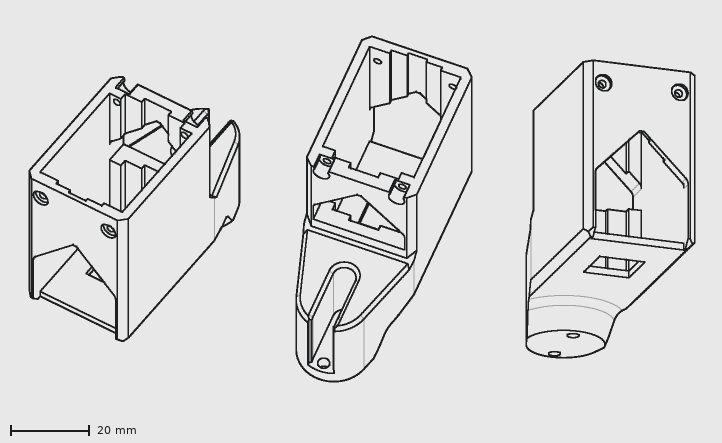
import cadquery as cq
import math

WIDTH = 30.0
LENGTH = 68.4
HEIGHT = 54.7
HALF_WIDTH = WIDTH / 2

BOX_LENGTH = 41.65
BOX_BOTTOM = 7.65
BOX_CHAMFER = 2.0
FLOOR_TOP = 9.5
CAVITY_HALF_WIDTH = 12.45
CAVITY_FRONT = 3.1
CAVITY_BACK = 35.15
FRONT_RECESSES = [(6.9, 2.05), (2.6, 1.2)]
BACK_RECESSES = [(9.0, 37.15), (4.05, 38.6)]
FLOOR_HOLE = 12.2
FLOOR_HOLE_Y = 20.7

GABLE_FLAT_HALF = 0.55
GABLE_RISE = CAVITY_HALF_WIDTH - GABLE_FLAT_HALF
GABLE_FILLET = 2.0
FRONT_EAVES = 25.3
BACK_EAVES = 36.3
BACK_SILL = 29.55

SCREW_X = 10.25
SCREW_D = 2.0
FRONT_SCREW_Z = 49.0
COUNTERBORE_D = 4.4
FRONT_COUNTERBORE_DEPTH = 1.0
BACK_SCREW_Z = 52.65
BACK_COUNTERBORE_DEPTH = 4.0
NOTCH_THROAT_Z = 53.9
NOTCH_TOP_HALF = 2.05

TAB_TOP = 25.0
TAB_END_R = 9.6
TAB_END_Y = LENGTH - TAB_END_R
TAB_CHAMFER = 1.0
GUSSET_LEG = 0.9

SLOT_FLOOR = 4.0
SLOT_R = 3.0
SLOT_CHAMFER = 1.0
SLOT_MOUTH_HALF = 3.55
SLOT_MOUTH_Y = 66.6
SLOT_MOUTH_END_Y = 67.15
TAB_HOLE_D = 3.0
TAB_HOLE_YS = (51.8, 65.8)

FOOT_R = 10.45
FOOT_DRAFT = math.radians(22)
FOOT_FILLET = 2.75


def block(x_half, y0, y1, z0, z1):
    """Box centred on X that spans the given Y and Z ranges."""
    base = cq.Workplane("XY", origin=(0, y0, z0))
    return base.box(2 * x_half, y1 - y0, z1 - z0, centered=(True, False, False))


def tab_outline(height):
    """Tapered tab with a round end, its straight sides tangent to the end arc."""
    run = TAB_END_Y - BOX_LENGTH
    reach = math.hypot(HALF_WIDTH, run)
    tangent_angle = math.acos(TAB_END_R / reach) - math.atan2(run, HALF_WIDTH)
    tangent_x = TAB_END_R * math.cos(tangent_angle)
    tangent_y = TAB_END_Y + TAB_END_R * math.sin(tangent_angle)
    return (
        cq.Workplane("XY")
        .moveTo(-HALF_WIDTH, BOX_LENGTH)
        .lineTo(HALF_WIDTH, BOX_LENGTH)
        .lineTo(tangent_x, tangent_y)
        .threePointArc((0, LENGTH), (-tangent_x, tangent_y))
        .close()
        .extrude(height)
    )


def gusset():
    """45 degree strip joining the tab to the box, filling the lower box corners."""
    start_y = BOX_LENGTH - BOX_CHAMFER
    slope_sum = BOX_LENGTH + GUSSET_LEG + TAB_TOP
    end_z = TAB_TOP - TAB_CHAMFER
    profile = [
        (start_y, 0),
        (start_y, slope_sum - start_y),
        (slope_sum - end_z, end_z),
        (slope_sum - end_z, 0),
    ]
    strip = cq.Workplane("YZ").polyline(profile).close().extrude(HALF_WIDTH, both=True)
    plan = block(HALF_WIDTH, 0, BOX_LENGTH, 0, HEIGHT).union(tab_outline(HEIGHT))
    return strip.intersect(plan)


def foot():
    """Cone around the tab end axis, flaring through a fillet into the box underside."""
    arc_z = BOX_BOTTOM - FOOT_FILLET * (1 - math.sin(FOOT_DRAFT))
    arc_r = FOOT_R + arc_z * math.tan(FOOT_DRAFT)
    centre_r = arc_r + FOOT_FILLET * math.cos(FOOT_DRAFT)
    centre_z = BOX_BOTTOM - FOOT_FILLET
    mid_angle = (FOOT_DRAFT + math.pi / 2) / 2
    arc_mid = (
        centre_r - FOOT_FILLET * math.cos(mid_angle),
        centre_z + FOOT_FILLET * math.sin(mid_angle),
    )
    return (
        cq.Workplane("XZ")
        .lineTo(FOOT_R, 0)
        .lineTo(arc_r, arc_z)
        .threePointArc(arc_mid, (centre_r, BOX_BOTTOM))
        .lineTo(centre_r, FLOOR_TOP)
        .lineTo(0, FLOOR_TOP)
        .close()
        .revolve(360, (0, 0, 0), (0, 1, 0))
        .translate((0, TAB_END_Y, 0))
    )


def outer_body():
    """Solid box, tab and gusset, trimmed below to the chamfered underside and the foot."""
    box = block(HALF_WIDTH, 0, BOX_LENGTH, 0, HEIGHT).edges("|Z").chamfer(BOX_CHAMFER)
    tab = tab_outline(TAB_TOP).faces(">Z").edges("not(<Y)").chamfer(TAB_CHAMFER)
    envelope = block(HALF_WIDTH, 0, LENGTH, BOX_BOTTOM, HEIGHT)
    envelope = envelope.faces("<Z").edges("not(>Y)").chamfer(BOX_CHAMFER)
    return box.union(tab).union(gusset()).intersect(envelope.union(foot()))


def cavity():
    """Open-topped interior with stepped recesses in the front and back walls."""
    space = block(CAVITY_HALF_WIDTH, CAVITY_FRONT, CAVITY_BACK, FLOOR_TOP, HEIGHT)
    for half, face_y in FRONT_RECESSES:
        space = space.union(block(half, face_y, CAVITY_FRONT, FLOOR_TOP, HEIGHT))
    for half, face_y in BACK_RECESSES:
        space = space.union(block(half, CAVITY_BACK, face_y, FLOOR_TOP, HEIGHT))
    return space


def gabled_window(y0, y1, sill_z, eaves_z):
    """Window with a 45 degree gable and rounded eaves."""
    top_z = eaves_z + GABLE_RISE
    profile = [
        (-CAVITY_HALF_WIDTH, sill_z),
        (CAVITY_HALF_WIDTH, sill_z),
        (CAVITY_HALF_WIDTH, eaves_z),
        (GABLE_FLAT_HALF, top_z),
        (-GABLE_FLAT_HALF, top_z),
        (-CAVITY_HALF_WIDTH, eaves_z),
    ]
    window = cq.Workplane("XZ", origin=(0, y0, 0)).polyline(profile).close().extrude(y0 - y1)
    eaves = cq.selectors.BoxSelector(
        (-WIDTH, y0, eaves_z - GABLE_FILLET),
        (WIDTH, y1, eaves_z + GABLE_FILLET),
    )
    return window.edges("|Y").edges(eaves).fillet(GABLE_FILLET)


def wall_bore(diameter, x, z, y0, y1):
    """Cylinder along Y."""
    return cq.Workplane("XZ", origin=(x, y0, z)).circle(diameter / 2).extrude(y0 - y1)


def screw_cuts(x):
    """Counterbored holes, the back counterbore breaking out through the top in a flared notch."""
    bore_back = BOX_LENGTH - BACK_COUNTERBORE_DEPTH
    throat_half = math.sqrt((COUNTERBORE_D / 2) ** 2 - (NOTCH_THROAT_Z - BACK_SCREW_Z) ** 2)
    notch_profile = [
        (x - throat_half, BACK_SCREW_Z),
        (x + throat_half, BACK_SCREW_Z),
        (x + throat_half, NOTCH_THROAT_Z),
        (x + NOTCH_TOP_HALF, HEIGHT),
        (x - NOTCH_TOP_HALF, HEIGHT),
        (x - throat_half, NOTCH_THROAT_Z),
    ]
    notch = (
        cq.Workplane("XZ", origin=(0, bore_back, 0))
        .polyline(notch_profile)
        .close()
        .extrude(-BACK_COUNTERBORE_DEPTH)
    )
    back_counterbore = wall_bore(COUNTERBORE_D, x, BACK_SCREW_Z, bore_back, BOX_LENGTH)
    below_throat = block(WIDTH, bore_back, BOX_LENGTH, 0, NOTCH_THROAT_Z)
    return (
        wall_bore(SCREW_D, x, FRONT_SCREW_Z, 0, CAVITY_FRONT)
        .union(wall_bore(COUNTERBORE_D, x, FRONT_SCREW_Z, 0, FRONT_COUNTERBORE_DEPTH))
        .union(wall_bore(SCREW_D, x, BACK_SCREW_Z, CAVITY_BACK, BOX_LENGTH))
        .union(back_counterbore.intersect(below_throat))
        .union(notch)
    )


def round_slot(radius):
    """Slot face at the tab top, with its round ends centred on the two tab holes."""
    inner_y, outer_y = TAB_HOLE_YS
    slot_length = outer_y - inner_y + 2 * radius
    face = cq.Workplane("XY", origin=(0, (inner_y + outer_y) / 2, TAB_TOP))
    return face.slot2D(slot_length, 2 * radius, 90)


def tab_slot():
    """Round-ended slot with a chamfered rim, opening through a flared mouth at the tab end."""
    channel = round_slot(SLOT_R).extrude(SLOT_FLOOR - TAB_TOP)
    rim = round_slot(SLOT_R + SLOT_CHAMFER).extrude(-SLOT_CHAMFER, taper=45)
    mouth_profile = [
        (-SLOT_R, SLOT_MOUTH_Y),
        (-SLOT_MOUTH_HALF, SLOT_MOUTH_END_Y),
        (-SLOT_MOUTH_HALF, LENGTH),
        (SLOT_MOUTH_HALF, LENGTH),
        (SLOT_MOUTH_HALF, SLOT_MOUTH_END_Y),
        (SLOT_R, SLOT_MOUTH_Y),
    ]
    mouth_base = cq.Workplane("XY", origin=(0, 0, SLOT_FLOOR))
    mouth = mouth_base.polyline(mouth_profile).close().extrude(TAB_TOP - SLOT_FLOOR)
    return channel.union(rim).union(mouth)


result = outer_body().cut(cavity())
result = result.cut(gabled_window(0, CAVITY_FRONT, 0, FRONT_EAVES))
result = result.cut(gabled_window(CAVITY_BACK, BOX_LENGTH, BACK_SILL, BACK_EAVES))

half_hole = FLOOR_HOLE / 2
result = result.cut(
    block(half_hole, FLOOR_HOLE_Y - half_hole, FLOOR_HOLE_Y + half_hole, BOX_BOTTOM, FLOOR_TOP)
)

for screw_x in (-SCREW_X, SCREW_X):
    result = result.cut(screw_cuts(screw_x))

result = result.cut(tab_slot())
for hole_y in TAB_HOLE_YS:
    hole = cq.Workplane("XY", origin=(0, hole_y, 0)).circle(TAB_HOLE_D / 2).extrude(TAB_TOP)
    result = result.cut(hole)